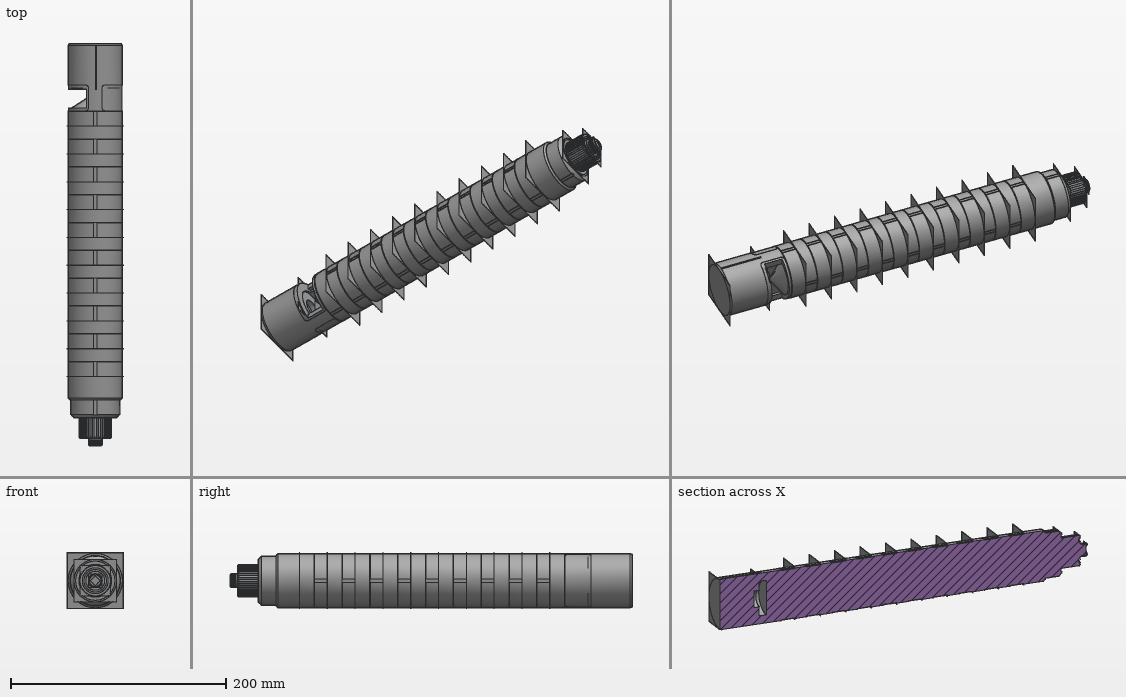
import cadquery as cq
import math

LENGTH = 373.41

BODY_RADIUS = 25.2
REAR_CHAMFER_LENGTH = 2.0
REAR_CHAMFER_DEPTH = 0.8

PLATE_WIDTH = 52.0
PLATE_HEIGHT = 52.04
PLATE_THICKNESS = 0.1
FIRST_PLATE_Y = 64.3
SEGMENT_PITCH = 25.82
PLATE_COUNT = 10
SCORE_OFFSET = 13.9
SCORE_WIDTH = 0.5
SCORE_DEPTH = 0.3
KEY_GROOVE_WIDTH = 3.0
KEY_GROOVE_DEPTH = 0.6

SHOULDER_Y = 42.6
SHOULDER_CHAMFER = 1.7
COLLAR_RADIUS = 23.0
COLLAR_FRONT_Y = 25.9
COLLAR_CHAMFER = 3.4
COLLAR_RECESS_RADIUS = 18.2
COLLAR_RECESS_DEPTH = 0.3
COLLAR_PLATE_SIZE = 39.5
NUT_RADIUS = 15.2
NUT_FRONT_Y = 6.9
NUT_CHAMFER = 1.2
NUT_PLATE_SIZE = 28.2
NUT_RECESS_RADII = (12.0, 10.5)
NUT_RECESS_STEP = 1.0
NUT_HUB_RADIUS = 8.8
FLUTE_COUNT = 24
FLUTE_WIDTH = 1.8
FLUTE_DEPTH = 1.0
STUD_RADIUS = 6.5
STUD_TIP_RADIUS = 5.4
STUD_CHAMFER = 1.0
STUD_PLATE_SIZE = 12.4
SOCKET_HALF_DIAGONAL = 4.6
SOCKET_DEPTH = 1.0
THREAD_PITCH = 1.5
THREAD_DEPTH = 0.7

REAR_PLATE_SIZE = 49.0
WINDOW_FRONT_Y = 313.4
WINDOW_REAR_Y = 331.0
WINDOW_WALL_X = -8.2
WINDOW_PLATE_SIZE = 44.0
WINDOW_PLATE_Y = 332.0
ROOM_RADIUS = 19.7
CONE_AXIS_X = -4.1
CONE_BASE_RADIUS = 18.4
CONE_HEIGHT = 11.8
CHAMBER_RADIUS = 16.8
CHAMBER_FRONT_Y = 326.2
CHAMBER_REAR_Y = 333.0
BORE_RADIUS = 8.0
BORE_DEPTH = 5.0
HEAD_SLIT_WIDTH = 1.0
HEAD_SLIT_DEPTH = 0.6
HEAD_SLIT_X = 0.7

PANEL_INNER_X = 6.2
PANEL_FRONT_Y = 311.0
PANEL_REAR_Y = 335.0
PANEL_CORNER_RADIUS = 3.0
PANEL_DEPTH = 0.2


def box(x0, x1, y0, y1, z0, z1):
    """Box between the given limits."""
    return cq.Workplane("XY").box(x1 - x0, y1 - y0, z1 - z0, centered=False).translate((x0, y0, z0))


def cylinder(radius, y0, y1):
    """Cylinder on the part axis from y0 to y1."""
    return cq.Workplane("XZ", origin=(0, y0, 0)).circle(radius).extrude(y0 - y1)


def ring(outer_radius, inner_radius, y0, y1):
    return cylinder(outer_radius, y0, y1).cut(cylinder(inner_radius, y0, y1))


def plate(width, height, y0):
    """Thin rectangular plate across the axis."""
    return box(-width / 2, width / 2, y0, y0 + PLATE_THICKNESS, -height / 2, height / 2)


def turned_body():
    """Stepped outline turned about the Y axis."""
    collar_face_radius = COLLAR_RADIUS - COLLAR_CHAMFER
    outline = (
        cq.Workplane("XY")
        .lineTo(STUD_TIP_RADIUS, 0)
        .lineTo(STUD_RADIUS, STUD_CHAMFER)
        .lineTo(STUD_RADIUS, NUT_FRONT_Y)
        .lineTo(NUT_RADIUS - NUT_CHAMFER, NUT_FRONT_Y)
        .lineTo(NUT_RADIUS, NUT_FRONT_Y + NUT_CHAMFER)
        .lineTo(NUT_RADIUS, COLLAR_FRONT_Y)
        .lineTo(collar_face_radius, COLLAR_FRONT_Y)
        .lineTo(COLLAR_RADIUS, COLLAR_FRONT_Y + COLLAR_CHAMFER)
        .lineTo(COLLAR_RADIUS, SHOULDER_Y)
        .lineTo(BODY_RADIUS - SHOULDER_CHAMFER, SHOULDER_Y)
        .lineTo(BODY_RADIUS, SHOULDER_Y + SHOULDER_CHAMFER)
        .lineTo(BODY_RADIUS, LENGTH - REAR_CHAMFER_LENGTH)
        .lineTo(BODY_RADIUS - REAR_CHAMFER_DEPTH, LENGTH)
        .lineTo(0, LENGTH)
        .close()
    )
    return outline.revolve(360, (0, 0, 0), (0, 1, 0))


def key_grooves(radius, y0, y1, angle=0):
    """Pair of shallow lengthwise grooves below the given radius: top and bottom, turned by the angle."""
    half = KEY_GROOVE_WIDTH / 2
    groove = box(-half, half, y0, y1, radius - KEY_GROOVE_DEPTH, radius + KEY_GROOVE_DEPTH)
    pair = groove.union(groove.mirror("XY"))
    return pair.rotate((0, 0, 0), (0, 1, 0), angle)


def cut_segments(body):
    """Score line and key grooves of every segment, and the grooves of the collar."""
    score_radius = BODY_RADIUS - SCORE_DEPTH
    for index in range(PLATE_COUNT):
        start = FIRST_PLATE_Y + index * SEGMENT_PITCH
        score = start + SCORE_OFFSET
        score_front = score - SCORE_WIDTH / 2
        body = body.cut(ring(BODY_RADIUS + 1, score_radius, score_front, score_front + SCORE_WIDTH))
        body = body.cut(key_grooves(BODY_RADIUS, start, score))
        if index < PLATE_COUNT - 1:
            body = body.cut(key_grooves(BODY_RADIUS, score, start + SEGMENT_PITCH, angle=90))
    collar_grooves = key_grooves(COLLAR_RADIUS, COLLAR_FRONT_Y, SHOULDER_Y)
    return body.cut(collar_grooves)


def cut_nut_flutes(body):
    flute = box(
        -FLUTE_WIDTH / 2, FLUTE_WIDTH / 2, NUT_FRONT_Y, COLLAR_FRONT_Y,
        NUT_RADIUS - FLUTE_DEPTH, NUT_RADIUS + FLUTE_DEPTH,
    )
    for index in range(FLUTE_COUNT):
        angle = (index + 0.5) * 360 / FLUTE_COUNT
        body = body.cut(flute.rotate((0, 0, 0), (0, 1, 0), angle))
    return body


def cut_stud_thread(body):
    """Plain ring grooves standing for the thread."""
    groove_width = THREAD_PITCH / 2
    root_radius = STUD_RADIUS - THREAD_DEPTH
    groove_count = math.floor((NUT_FRONT_Y - STUD_CHAMFER) / THREAD_PITCH)
    for index in range(groove_count):
        start = STUD_CHAMFER + groove_width + index * THREAD_PITCH
        body = body.cut(ring(STUD_RADIUS + 1, root_radius, start, start + groove_width))
    return body


def cut_window_panels(body):
    """Shallow rounded recess on each side of the head."""
    outer = BODY_RADIUS + 1
    shell = ring(outer, BODY_RADIUS - PANEL_DEPTH, PANEL_FRONT_Y, PANEL_REAR_Y)
    panel = box(PANEL_INNER_X, outer, PANEL_FRONT_Y, PANEL_REAR_Y, -outer, outer)
    panel = panel.edges("|Z and <X").fillet(PANEL_CORNER_RADIUS).intersect(shell)
    return body.cut(panel).cut(panel.mirror("YZ"))


def window_cone():
    """Cone standing on the front wall of the window, pointing rearwards."""
    outline = (
        cq.Workplane("XY")
        .moveTo(0, WINDOW_FRONT_Y)
        .lineTo(CONE_BASE_RADIUS, WINDOW_FRONT_Y)
        .lineTo(0, WINDOW_FRONT_Y + CONE_HEIGHT)
        .close()
    )
    return outline.revolve(360, (0, 0, 0), (0, 1, 0)).translate((CONE_AXIS_X, 0, 0))


def cut_window(body):
    """Side opening into the head, with the cone in front and the round chamber behind it."""
    outer = BODY_RADIUS + 1
    opening = box(-outer, WINDOW_WALL_X, WINDOW_FRONT_Y, WINDOW_REAR_Y, -outer, outer)
    room = box(-outer, CONE_AXIS_X, WINDOW_FRONT_Y, WINDOW_REAR_Y, -outer, outer)
    room = room.intersect(cylinder(ROOM_RADIUS, WINDOW_FRONT_Y, WINDOW_REAR_Y))
    body = body.cut(opening.union(room).cut(window_cone()))
    body = body.union(plate(WINDOW_PLATE_SIZE, WINDOW_PLATE_SIZE, WINDOW_PLATE_Y))
    body = body.cut(cylinder(CHAMBER_RADIUS, CHAMBER_FRONT_Y, CHAMBER_REAR_Y))
    return body.cut(cylinder(BORE_RADIUS, CHAMBER_REAR_Y, CHAMBER_REAR_Y + BORE_DEPTH))


def cut_head_slit(body):
    x0 = HEAD_SLIT_X - HEAD_SLIT_WIDTH / 2
    slit = box(
        x0, x0 + HEAD_SLIT_WIDTH, WINDOW_REAR_Y, LENGTH - REAR_CHAMFER_LENGTH,
        BODY_RADIUS - HEAD_SLIT_DEPTH, BODY_RADIUS + 1,
    )
    return body.cut(slit)


def add_plates(body):
    """Square plates at the segment joints and at the end faces."""
    for index in range(PLATE_COUNT):
        body = body.union(plate(PLATE_WIDTH, PLATE_HEIGHT, FIRST_PLATE_Y + index * SEGMENT_PITCH))
    end_plates = [
        (REAR_PLATE_SIZE, LENGTH - PLATE_THICKNESS),
        (COLLAR_PLATE_SIZE, COLLAR_FRONT_Y),
        (NUT_PLATE_SIZE, NUT_FRONT_Y),
        (STUD_PLATE_SIZE, STUD_CHAMFER),
    ]
    for size, y0 in end_plates:
        body = body.union(plate(size, size, y0))
    return body


def cut_front_recesses(body):
    """Recess around the nut, stepped ring recess in the nut face and square socket in the stud."""
    body = body.cut(
        ring(COLLAR_RECESS_RADIUS, NUT_RADIUS, COLLAR_FRONT_Y, COLLAR_FRONT_Y + COLLAR_RECESS_DEPTH)
    )
    for step, radius in enumerate(NUT_RECESS_RADII, start=1):
        floor_y = NUT_FRONT_Y + step * NUT_RECESS_STEP
        body = body.cut(ring(radius, NUT_HUB_RADIUS, NUT_FRONT_Y, floor_y))
    socket_side = SOCKET_HALF_DIAGONAL * math.sqrt(2)
    half = socket_side / 2
    socket = box(-half, half, 0, SOCKET_DEPTH, -half, half).rotate((0, 0, 0), (0, 1, 0), 45)
    return body.cut(socket)


part = turned_body()
part = cut_segments(part)
part = cut_nut_flutes(part)
part = cut_stud_thread(part)
part = cut_window_panels(part)
part = cut_window(part)
part = cut_head_slit(part)
part = add_plates(part)
result = cut_front_recesses(part)